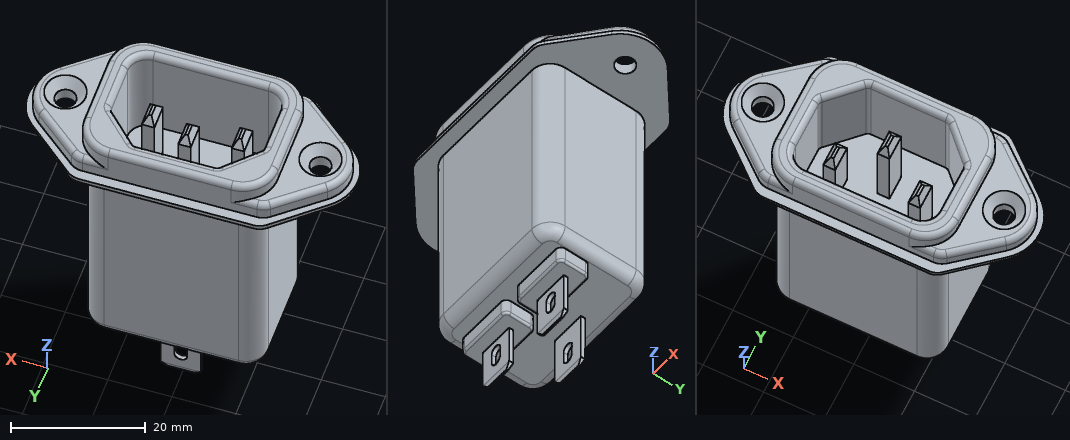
import cadquery as cq
import math

overall_height = 56.6

plate_length = 51.5
plate_width = 25.3
plate_thickness = 0.8
plate_end_radius = 7.0
ear_length = 49.4
ear_end_radius = 6.0
ear_top = 3.75
flange_corner_radius = 3.0
flange_corner_x = 13.65
top_edge_radius = 1.0

screw_hole_x = 19.9
screw_hole_diameter = 3.3
countersink_diameter = 6.35
countersink_angle = 90.0

rim_length = 30.15
rim_width = 22.15
rim_corner_radius = 5.5
rim_top = 6.8

body_length = 28.0
body_width = 20.45
body_corner_radius = 3.5
body_height = 38.4
body_bottom_radius = 2.0

cavity_length = 24.0
cavity_width = 16.4
cavity_depth = 17.0
cavity_floor = rim_top - cavity_depth
cavity_bevel = 5.45
cavity_bevel_radius = 1.0
cavity_corner_radius = 3.0

pin_length_x = 2.0
pin_length_y = 4.0
side_pin_spacing = 14.05
pin_row_y = 2.0
center_pin_top = 5.2
side_pin_top = 2.2
pin_tip_height = 1.4
pin_tip_x = 0.45
pin_tip_y = 2.0

blade_width = 6.3
blade_thickness = 0.8
blade_tip_height = 0.95
blade_tip_width = blade_width - 2 * blade_tip_height
blade_tip_thickness = 0.3
blade_pitch = 6.5
outer_blade_y = -3.05
center_blade_y = 5.4
outer_blade_bottom = rim_top - overall_height
center_blade_bottom = -48.75
slot_width = 2.0
slot_height = 4.0
outer_slot_z = -44.65
center_slot_z = -44.0
pad_length = 10.75
pad_width = 5.85
pad_height = 2.9
pad_corner_radius = 1.0
pad_bottom_radius = 0.4


def flange_outline(length, width, end_radius, z):
    """Closed outline of two round ends joined to a flat middle by tangent slanted sides."""
    end_x = length / 2 - end_radius
    corner_y = width / 2 - flange_corner_radius
    across_x = flange_corner_x - end_x
    spacing = math.hypot(across_x, corner_y)
    normal = math.atan2(corner_y, across_x) - math.acos((end_radius - flange_corner_radius) / spacing)
    middle = (normal + math.pi / 2) / 2

    def on_end(angle):
        return end_x + end_radius * math.cos(angle), end_radius * math.sin(angle)

    def on_corner(angle):
        return (
            flange_corner_x + flange_corner_radius * math.cos(angle),
            corner_y + flange_corner_radius * math.sin(angle),
        )

    def flipped(point, x_sign, y_sign):
        return x_sign * point[0], y_sign * point[1]

    end = on_end(normal)
    corner = on_corner(normal)
    corner_middle = on_corner(middle)
    corner_top = (flange_corner_x, width / 2)
    return (
        cq.Workplane("XY", origin=(0, 0, z))
        .moveTo(*flipped(end, 1, -1))
        .threePointArc((length / 2, 0), end)
        .lineTo(*corner)
        .threePointArc(corner_middle, corner_top)
        .lineTo(*flipped(corner_top, -1, 1))
        .threePointArc(flipped(corner_middle, -1, 1), flipped(corner, -1, 1))
        .lineTo(*flipped(end, -1, 1))
        .threePointArc((-length / 2, 0), flipped(end, -1, -1))
        .lineTo(*flipped(corner, -1, -1))
        .threePointArc(flipped(corner_middle, -1, -1), flipped(corner_top, -1, -1))
        .lineTo(*flipped(corner_top, 1, -1))
        .threePointArc(flipped(corner_middle, 1, -1), flipped(corner, 1, -1))
        .close()
    )


def rounded_block(length, width, bottom, top, corner_radius):
    """Upright block with rounded vertical edges."""
    return (
        cq.Workplane("XY", origin=(0, 0, bottom))
        .rect(length, width)
        .extrude(top - bottom)
        .edges("|Z")
        .fillet(corner_radius)
    )


def tapered_bar(length_x, length_y, total_height, tip_x, tip_y, tip_height):
    """Rectangular bar rising from Z = 0 whose tip narrows on all four sides."""
    return (
        cq.Workplane("XY")
        .rect(length_x, length_y)
        .extrude(total_height - tip_height)
        .faces(">Z")
        .workplane()
        .rect(length_x, length_y)
        .workplane(offset=tip_height)
        .rect(tip_x, tip_y)
        .loft(combine=True)
    )


def make_flange():
    plate = flange_outline(plate_length, plate_width, plate_end_radius, 0).extrude(plate_thickness)
    ears = (
        flange_outline(ear_length, rim_width, ear_end_radius, plate_thickness)
        .extrude(ear_top - plate_thickness)
        .faces(">Z")
        .edges()
        .fillet(top_edge_radius)
    )
    return plate.union(ears)


def make_rim():
    rim = rounded_block(rim_length, rim_width, 0, rim_top, rim_corner_radius)
    return rim.faces(">Z").edges().fillet(top_edge_radius)


def make_body():
    body = rounded_block(body_length, body_width, -body_height, plate_thickness, body_corner_radius)
    return body.faces("<Z").edges().fillet(body_bottom_radius)


def make_cavity():
    half_length = cavity_length / 2
    half_width = cavity_width / 2
    return (
        cq.Workplane("XY", origin=(0, 0, cavity_floor))
        .moveTo(-half_length, -half_width)
        .lineTo(half_length, -half_width)
        .lineTo(half_length, half_width - cavity_bevel)
        .lineTo(half_length - cavity_bevel, half_width)
        .lineTo(cavity_bevel - half_length, half_width)
        .lineTo(-half_length, half_width - cavity_bevel)
        .close()
        .extrude(cavity_depth)
        .edges("(|Z) and (not <Y)")
        .fillet(cavity_bevel_radius)
        .edges("|Z and <Y")
        .fillet(cavity_corner_radius)
    )


def make_pin(x, y, top):
    pin = tapered_bar(pin_length_x, pin_length_y, top - cavity_floor, pin_tip_x, pin_tip_y, pin_tip_height)
    return pin.translate((x, y, cavity_floor))


def make_blade(x, y, bottom, slot_z):
    """Blade hanging from the underside of the body, with an upright slot through it."""
    length = -body_height - bottom
    blade = tapered_bar(
        blade_width, blade_thickness, length, blade_tip_width, blade_tip_thickness, blade_tip_height
    )
    blade = blade.rotate((0, 0, 0), (1, 0, 0), 180).translate((x, y, -body_height))
    slot = (
        cq.Workplane("XZ", origin=(x, y, slot_z))
        .slot2D(slot_height, slot_width, 90)
        .extrude(blade_thickness, both=True)
    )
    return blade.cut(slot)


def make_pad(x):
    pad = rounded_block(pad_length, pad_width, -body_height - pad_height, -body_height, pad_corner_radius)
    return pad.faces("<Z").edges().fillet(pad_bottom_radius).translate((x, outer_blade_y, 0))


result = make_body().union(make_flange()).union(make_rim())
result = result.cut(make_cavity())

mouth_edges = result.faces(">Z").wires().item(1).edges()
result = mouth_edges.fillet(top_edge_radius)

result = (
    result.copyWorkplane(cq.Workplane("XY", origin=(0, 0, ear_top)))
    .pushPoints([(-screw_hole_x, 0), (screw_hole_x, 0)])
    .cskHole(screw_hole_diameter, countersink_diameter, countersink_angle)
)

result = result.union(make_pin(0, pin_row_y, center_pin_top))
for side in (-1, 1):
    result = result.union(make_pin(side * side_pin_spacing / 2, -pin_row_y, side_pin_top))

result = result.union(make_blade(0, center_blade_y, center_blade_bottom, center_slot_z))
for side in (-1, 1):
    result = result.union(make_pad(side * blade_pitch))
    blade = make_blade(side * blade_pitch, outer_blade_y, outer_blade_bottom, outer_slot_z)
    result = result.union(blade)